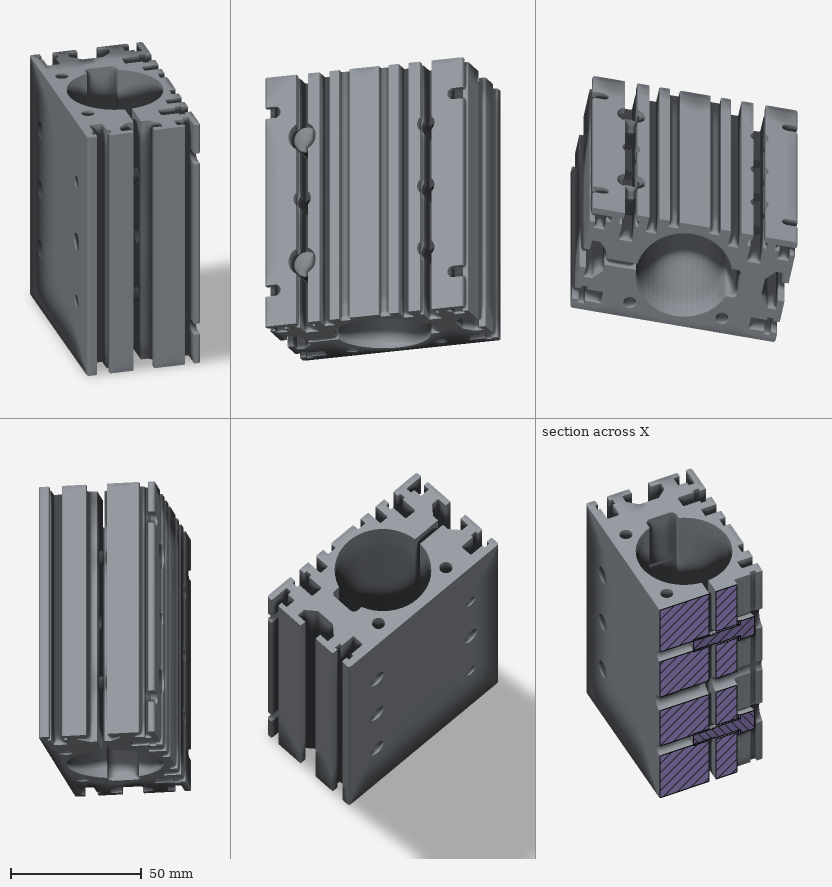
import cadquery as cq
import math

width = 80.0
depth = 45.0
length = 100.0
corner_radius = 1.0
half_width = width / 2
mid_depth = depth / 2

bore_diameter = 37.0
keyway_floor_x = -21.6
keyway_width = 12.4
keyway_corner_radius = 2.0
gap_width = 2.8

groove_width = 4.0
deep_groove_x = 16.0
deep_groove_depth = 6.7
shallow_groove_x = 8.0
shallow_groove_depth = 2.7
flange_thickness = 2.5
slot_x = 25.0
slot_mouth_width = 4.8
slot_core_width = 5.2
slot_core_depth = 12.0
slot_core_corner_radius = 0.6
slot_head_width = 7.6
slot_head_length = 2.5
groove_rim_radius = 0.5

side_lip = 2.5
front_slot_y = 6.5
front_slot_mouth_width = 5.0
front_slot_rim_radius = 0.5
front_slot_core_depth = 11.2
octagon_mouth_width = 8.2
octagon_width = 16.4
octagon_depth = 9.3
octagon_flat_depth = 5.8
rear_slot_depth = 8.0
rear_slot_head = 2.5
rear_slot_rim_radius = 0.4
rear_lip = 2.0
rear_lip_top_y = 39.0
rear_pocket_depth = 6.3
rear_pocket_floor_y = 36.3

end_hole_diameter = 5.0
end_hole_x = 18.0
end_hole_y = 6.5
mounting_hole_diameter = 7.0
hole_pitch_z = 25.0
flange_notch_width = 4.5
flange_notch_depth = 6.25
flange_notch_z = 35.75

screw_diameter = 6.0
thread_root_diameter = 4.8
thread_pitch = 1.0
thread_flank_angle = 30.0
screw_length = 20.0
head_diameter = 10.0
head_height = 6.0
head_chamfer = 0.3
shank_length = 10.7
washer_diameter = 10.8
washer_bore = 6.5
washer_thickness = 0.65
counterbore_diameter = 11.0
tapped_core_diameter = 5.0
screw_heights = (-hole_pitch_z, hole_pitch_z)

slot_floor_y = depth - slot_core_depth
head_seat_y = slot_floor_y + 2 * washer_thickness
screw_tip_y = head_seat_y - screw_length
gap_top_y = mid_depth + gap_width / 2


def prism(x0, x1, y0, y1):
    """Bar of rectangular section over the whole length."""
    corner = cq.Workplane("XY", origin=(x0, y0, -length / 2))
    return corner.box(x1 - x0, y1 - y0, length, centered=False)


def bar_z(diameter, x, y):
    """Round bar along Z over the whole length."""
    return cq.Workplane("XY", origin=(x, y, -length / 2)).circle(diameter / 2).extrude(length)


def bar_y(diameter, x, z, y0, y1):
    """Round bar along Y."""
    return cq.Workplane("XZ", origin=(x, y0, z)).circle(diameter / 2).extrude(y0 - y1)


def both_sides(tool):
    """The tool and its mirror image about the YZ plane."""
    return tool.union(tool.mirror("YZ"))


def t_slot(mouth_width, core_depth):
    """T-slot cutter along Z that opens at Y = 0 and goes into -Y."""
    half_mouth = mouth_width / 2
    half_head = slot_head_width / 2
    half_core = slot_core_width / 2
    core = prism(-half_core, half_core, -core_depth, -side_lip)
    core = core.edges("|Z and <Y").fillet(slot_core_corner_radius)
    head = prism(-half_head, half_head, -side_lip - slot_head_length, -side_lip)
    return core.union(head).union(prism(-half_mouth, half_mouth, -side_lip, 0))


def octagonal_slot():
    """Central side slot with a narrow mouth and a floor between two sloped walls."""
    half_mouth = octagon_mouth_width / 2
    half_slot = octagon_width / 2
    lower = [
        (0, half_mouth),
        (side_lip, half_mouth),
        (side_lip, half_slot),
        (octagon_flat_depth, half_slot),
        (octagon_depth, half_mouth),
    ]
    upper = [(x, -y) for x, y in reversed(lower)]
    points = [(x - half_width, y + mid_depth) for x, y in lower + upper]
    return cq.Workplane("XY", origin=(0, 0, -length / 2)).polyline(points).close().extrude(length)


def rear_slot():
    """Stepped side slot under the rear flange, with a pocket behind the short outer lip."""
    flange_y = depth - flange_thickness
    lip_x = rear_lip - half_width
    head = prism(-half_width, rear_slot_depth - half_width, flange_y - rear_slot_head, flange_y)
    pocket = prism(lip_x, rear_pocket_depth - half_width, rear_pocket_floor_y, flange_y)
    mouth = prism(-half_width, lip_x, rear_lip_top_y, flange_y)
    return head.union(pocket).union(mouth)


def groove(x, groove_depth):
    """Rectangular groove in the back face."""
    return prism(x - groove_width / 2, x + groove_width / 2, depth - groove_depth, depth)


def flange_notch(z):
    """Round-ended notch through the rear flange, open at its outer edge."""
    flange_y = depth - flange_thickness
    end_x = flange_notch_depth - flange_notch_width / 2 - half_width
    end = bar_y(flange_notch_width, end_x, z, flange_y, depth)
    run = cq.Workplane("XY", origin=(-half_width, flange_y, z))
    run = run.box(end_x + half_width, flange_thickness, flange_notch_width, centered=(False, False, True))
    return end.union(run)


def round_rims(body):
    """Round the outer rims of the side T-slots and rear slots, and the inner rims of the grooves."""
    half_mouth = front_slot_mouth_width / 2
    rims = [
        (half_width, front_slot_y - half_mouth, front_slot_rim_radius),
        (half_width, front_slot_y + half_mouth, front_slot_rim_radius),
        (half_width, rear_lip_top_y, rear_slot_rim_radius),
        (half_width, depth - flange_thickness, rear_slot_rim_radius),
        (deep_groove_x - groove_width / 2, depth, groove_rim_radius),
        (shallow_groove_x - groove_width / 2, depth, groove_rim_radius),
    ]
    for rim_x, y, radius in rims:
        for x in (-rim_x, rim_x):
            rim = cq.selectors.NearestToPointSelector((x, y, 0))
            body = body.edges("|Z").edges(rim).fillet(radius)
    return body


def make_housing():
    body = prism(-half_width, half_width, 0, depth).edges("|Z").fillet(corner_radius)
    body = body.cut(both_sides(groove(-deep_groove_x, deep_groove_depth)))
    body = body.cut(both_sides(groove(-shallow_groove_x, shallow_groove_depth)))
    body = body.cut(both_sides(t_slot(slot_mouth_width, slot_core_depth).translate((-slot_x, depth, 0))))
    front = t_slot(front_slot_mouth_width, front_slot_core_depth).rotate((0, 0, 0), (0, 0, 1), 90)
    body = body.cut(both_sides(front.translate((-half_width, front_slot_y, 0))))
    body = body.cut(both_sides(octagonal_slot()))
    body = body.cut(both_sides(rear_slot()))
    body = round_rims(body)

    body = body.cut(bar_z(bore_diameter, 0, mid_depth))
    keyway = prism(keyway_floor_x, 0, mid_depth - keyway_width / 2, mid_depth + keyway_width / 2)
    body = body.cut(keyway.edges("|Z and <X").fillet(keyway_corner_radius))
    body = body.cut(prism(0, half_width - octagon_depth, mid_depth - gap_width / 2, gap_top_y))

    for x in (-end_hole_x, end_hole_x):
        body = body.cut(bar_z(end_hole_diameter, x, end_hole_y))
    mounting_holes = [(-slot_x, z) for z in (-hole_pitch_z, 0, hole_pitch_z)] + [(slot_x, 0)]
    for x, z in mounting_holes:
        body = body.cut(bar_y(mounting_hole_diameter, x, z, 0, depth))
    for z in (-flange_notch_z, flange_notch_z):
        body = body.cut(both_sides(flange_notch(z)))
    for z in screw_heights:
        body = body.cut(bar_y(counterbore_diameter, slot_x, z, slot_floor_y, depth))
        body = body.cut(bar_y(mounting_hole_diameter, slot_x, z, mid_depth, slot_floor_y))
        body = body.cut(bar_y(screw_diameter, slot_x, z, screw_tip_y, mid_depth))
        body = body.cut(bar_y(tapped_core_diameter, slot_x, z, 0, screw_tip_y))
    return body


def make_screw(z):
    """Cylinder head screw along Y: plain shank, then a thread formed by evenly spaced ring grooves."""
    crest = screw_diameter / 2
    root = thread_root_diameter / 2
    run = (crest - root) * math.tan(math.radians(thread_flank_angle))
    flat = (thread_pitch - 2 * run) / 2
    thread_start_y = head_seat_y - shank_length
    turns = math.floor((thread_start_y - screw_tip_y) / thread_pitch)
    top = head_seat_y + head_height
    points = [(0, top), (head_diameter / 2 - head_chamfer, top), (head_diameter / 2, top - head_chamfer)]
    points += [(head_diameter / 2, head_seat_y), (crest, head_seat_y)]
    for turn in range(turns):
        y = thread_start_y - turn * thread_pitch
        points += [(crest, y), (root, y - run), (root, y - run - flat), (crest, y - 2 * run - flat)]
    points += [(crest, screw_tip_y), (0, screw_tip_y)]
    screw = cq.Workplane("XY").polyline(points).close().revolve(360, (0, 0, 0), (0, 1, 0))
    return screw.translate((slot_x, 0, z))


def make_washer(z, seat_y):
    """Flat washer whose lower face lies at seat_y."""
    washer = bar_y(washer_diameter, slot_x, z, seat_y, seat_y + washer_thickness)
    return washer.cut(bar_y(washer_bore, slot_x, z, seat_y, seat_y + washer_thickness))


housing = make_housing()
bodies = [housing.val()]
for z in screw_heights:
    bodies.append(make_screw(z).val())
    bodies.append(make_washer(z, slot_floor_y).val())
    bodies.append(make_washer(z, slot_floor_y + washer_thickness).val())
result = cq.Compound.makeCompound(bodies)